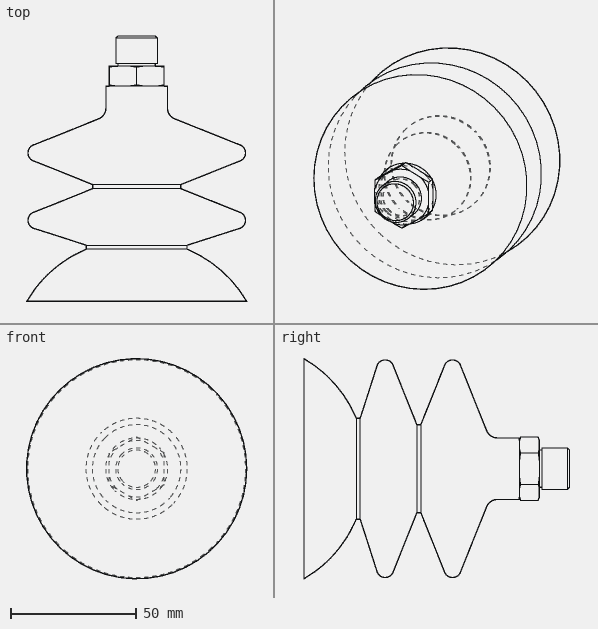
import cadquery as cq
import math


total_length = 106.0
thread_diameter = 16.66
thread_root_diameter = 14.95
thread_chamfer = (thread_diameter - thread_root_diameter) / 2
thread_length = 11.0
undercut_length = 1.0
hex_across_flats = 22.0
hex_height = 8.0
hex_corner_diameter = hex_across_flats / math.cos(math.pi / 6)
hex_face_diameter = 22.6
hex_chamfer_height = 0.5

neck_diameter = 24.7
shoulder_fillet = 4.5
rim_radius = 3.45
rim_center_radius = 40.05
upper_rim_y = 59.3
lower_rim_y = 32.4
cone_tilt = 21.8
cup_cone_tilt = 17.8
waist_radius = 17.65
cup_waist_radius = 20.2
cup_waist_length = 1.5

cup_diameter = 88.0
cup_curve_radius = 50.0

thread_start_y = total_length - thread_length
hex_top_y = thread_start_y - undercut_length
hex_base_y = hex_top_y - hex_height


def rim_tangent(rim_y, tilt, side):
    """Point where a cone meets a rim; side is +1 toward the thread, -1 toward the cup."""
    angle = math.radians(tilt)
    radius = rim_center_radius + rim_radius * math.sin(angle)
    return radius, rim_y + side * rim_radius * math.cos(angle)


def cone_point(rim_y, tilt, side, radius):
    """Point of a fold's cone at the given radius."""
    start_radius, start_y = rim_tangent(rim_y, tilt, side)
    return radius, start_y + side * (start_radius - radius) * math.tan(math.radians(tilt))


def rim_crest(rim_y):
    return rim_center_radius + rim_radius, rim_y


def arc_middle(start, end, radius):
    """Middle of an arc between two points, bulging to the right of start to end."""
    dx = end[0] - start[0]
    dy = end[1] - start[1]
    chord = math.hypot(dx, dy)
    rise = radius - math.sqrt(radius**2 - (chord / 2) ** 2)
    middle_x = (start[0] + end[0]) / 2 + rise * dy / chord
    middle_y = (start[1] + end[1]) / 2 - rise * dx / chord
    return middle_x, middle_y


def make_bellows():
    """Cup, two folds and neck, revolved as one body."""
    neck_radius = neck_diameter / 2
    cup_edge = (cup_diameter / 2, 0)
    cup_waist_top = cone_point(lower_rim_y, cup_cone_tilt, -1, cup_waist_radius)
    cup_top = (cup_waist_radius, cup_waist_top[1] - cup_waist_length)

    neck_corner = cone_point(upper_rim_y, cone_tilt, 1, neck_radius)
    turn = math.radians(90 - cone_tilt)
    tangent_length = shoulder_fillet * math.tan(turn / 2)
    shoulder_radius = neck_radius + tangent_length * math.cos(math.radians(cone_tilt))
    shoulder_base = cone_point(upper_rim_y, cone_tilt, 1, shoulder_radius)
    shoulder_top = (neck_radius, neck_corner[1] + tangent_length)
    shoulder_middle = arc_middle(shoulder_top, shoulder_base, shoulder_fillet)

    profile = (
        cq.Workplane("XY")
        .lineTo(*cup_edge)
        .threePointArc(arc_middle(cup_edge, cup_top, cup_curve_radius), cup_top)
        .lineTo(*cup_waist_top)
        .lineTo(*rim_tangent(lower_rim_y, cup_cone_tilt, -1))
        .threePointArc(rim_crest(lower_rim_y), rim_tangent(lower_rim_y, cone_tilt, 1))
        .lineTo(*cone_point(lower_rim_y, cone_tilt, 1, waist_radius))
        .lineTo(*cone_point(upper_rim_y, cone_tilt, -1, waist_radius))
        .lineTo(*rim_tangent(upper_rim_y, cone_tilt, -1))
        .threePointArc(rim_crest(upper_rim_y), rim_tangent(upper_rim_y, cone_tilt, 1))
        .lineTo(*shoulder_base)
        .threePointArc(shoulder_middle, shoulder_top)
        .lineTo(neck_radius, hex_base_y)
        .lineTo(0, hex_base_y)
        .close()
    )
    return profile.revolve(360, (0, 0), (0, 1))


def cylinder(diameter, start_y, length):
    return cq.Workplane("XZ", origin=(0, start_y, 0)).circle(diameter / 2).extrude(-length)


def make_hex():
    """Hexagon with flats facing +X and -X and its corners chamfered at both ends."""
    prism = (
        cq.Workplane("XZ", origin=(0, hex_base_y, 0))
        .transformed(rotate=(0, 0, 90))
        .polygon(6, hex_corner_diameter)
        .extrude(-hex_height)
    )
    chamfer_width = (hex_corner_diameter - hex_face_diameter) / 2
    envelope = (
        cylinder(hex_corner_diameter, hex_base_y, hex_height)
        .faces("<Y or >Y")
        .chamfer(hex_chamfer_height, chamfer_width)
    )
    return prism.intersect(envelope)


def make_thread():
    """Plain thread cylinder with a chamfered tip, above its undercut."""
    undercut = cylinder(thread_root_diameter, hex_top_y, undercut_length)
    shank = cylinder(thread_diameter, thread_start_y, thread_length)
    return undercut.union(shank.faces(">Y").chamfer(thread_chamfer))


result = make_bellows().union(make_hex()).union(make_thread())